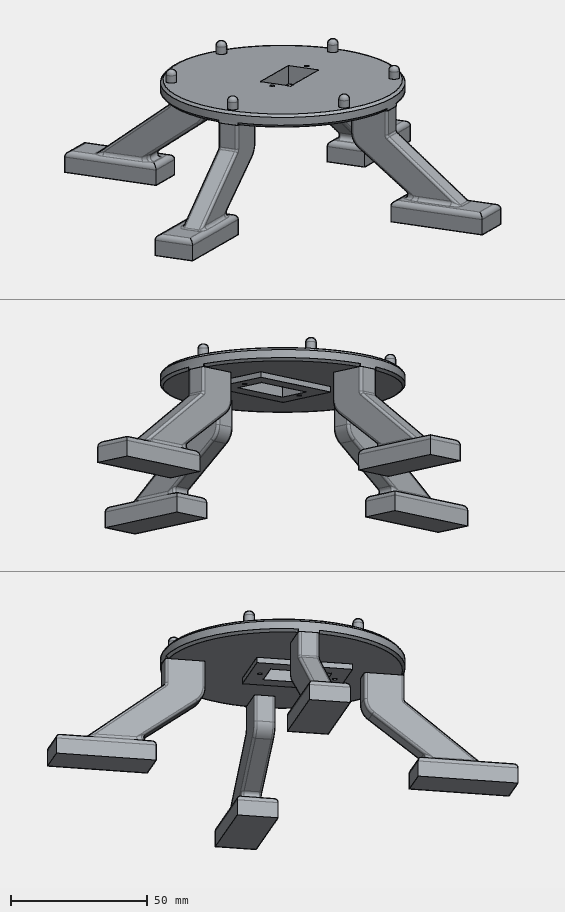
import cadquery as cq

span = 173.0
total_height = 50.2

plate_diameter = 90.0
plate_thickness = 5.0
plate_edge = 1.0

pin_count = 6
pin_diameter = 4.0
pin_height = 4.7
pin_nose_radius = 1.9
pin_circle_radius = 41.0
pin_first_angle = 30.0

window_length = 23.0
window_width = 12.5
opening_center_y = 5.5
pad_length = 36.0
pad_width = 24.9
pad_depth = 2.0
screw_hole_diameter = 1.66
screw_hole_spacing = 28.2

foot_count = 4
foot_length = 37.5
foot_width = 15.4
foot_height = 8.0
foot_offset = 1.42
foot_edge_radius = 2.0

leg_width = 8.0
leg_depth = 15.0
leg_outer_bend_z = 30.8
leg_outer_reach = 74.9
leg_inner_bend_z = 26.8
leg_inner_reach = 56.0
leg_inner_bend_radius = 7.1
leg_edge_radius = 1.0
leg_foot_radius = 1.5

level_tolerance = 0.2
selection_margin = 0.09

plate_radius = plate_diameter / 2
plate_top = total_height - pin_height
plate_bottom = plate_top - plate_thickness
leg_outer_x = -plate_radius
leg_inner_x = leg_outer_x + leg_depth


def make_plate():
    """Round plate with both rims bevelled."""
    disc = cq.Workplane("XY").workplane(offset=plate_bottom).circle(plate_radius).extrude(plate_thickness)
    return disc.edges().chamfer(plate_edge)


def make_pins():
    """Round-nosed pins standing on the plate."""
    pins = (
        cq.Workplane("XY")
        .workplane(offset=plate_bottom)
        .polarArray(pin_circle_radius, pin_first_angle, 360, pin_count)
        .circle(pin_diameter / 2)
        .extrude(total_height - plate_bottom)
    )
    return pins.faces(">Z").edges().fillet(pin_nose_radius)


def make_foot():
    """Foot block on the -X side, set off sideways from its leg."""
    block = cq.Workplane("XY").box(foot_length, foot_width, foot_height, centered=(False, True, False))
    block = block.translate((-span / 2, foot_offset, 0))
    return block.faces(">Z").edges().fillet(foot_edge_radius)


def x_inside_foot(reach, bend_x, bend_z):
    """X where a leg flank, crossing the foot top at -reach, gets to half the foot height."""
    run_per_rise = (bend_x + reach) / (bend_z - foot_height)
    return -reach - run_per_rise * foot_height / 2


def make_leg():
    """Bent leg on the -X side, from inside the foot up to the underside of the plate."""
    profile = [
        (x_inside_foot(leg_outer_reach, leg_outer_x, leg_outer_bend_z), foot_height / 2),
        (leg_outer_x, leg_outer_bend_z),
        (leg_outer_x, plate_bottom),
        (leg_inner_x, plate_bottom),
        (leg_inner_x, leg_inner_bend_z),
        (x_inside_foot(leg_inner_reach, leg_inner_x, leg_inner_bend_z), foot_height / 2),
    ]
    leg = cq.Workplane("XZ").polyline(profile).close().extrude(leg_width / 2, both=True)
    inner_bend = cq.selectors.NearestToPointSelector((leg_inner_x, 0, leg_inner_bend_z))
    leg = leg.edges(inner_bend).fillet(leg_inner_bend_radius)
    outer_bend = cq.selectors.NearestToPointSelector((leg_outer_x, 0, leg_outer_bend_z))
    leg = leg.edges(outer_bend).fillet(leg_edge_radius)
    lengthwise = leg.faces("<Y or >Y").edges().filter(lambda edge: edge.BoundingBox().zlen > level_tolerance)
    return lengthwise.fillet(leg_edge_radius)


def make_leg_seat():
    """Strip over the leg where the lower plate edge keeps its full radius."""
    strip = cq.Workplane("XY").box(leg_depth, leg_width, plate_edge, centered=(False, True, False))
    strip = strip.translate((leg_outer_x, 0, plate_bottom))
    disc = cq.Workplane("XY").workplane(offset=plate_bottom).circle(plate_radius).extrude(plate_edge)
    return strip.intersect(disc)


def make_support():
    """One leg blended into its foot, with its seat under the plate."""
    support = make_foot().union(make_leg())
    junction = cq.selectors.BoxSelector(
        (-leg_outer_reach - selection_margin, -leg_width / 2 - selection_margin, foot_height - selection_margin),
        (-leg_inner_reach + selection_margin, leg_width / 2 + selection_margin, foot_height + selection_margin),
        boundingbox=True,
    )
    support = support.edges(junction).fillet(leg_foot_radius)
    return support.union(make_leg_seat())


def make_pad():
    """Pad hanging under the plate around the window, rooted in the plate."""
    pad = cq.Workplane("XY").workplane(offset=plate_bottom - pad_depth).center(0, opening_center_y)
    return pad.rect(pad_width, pad_length).extrude(pad_depth + plate_edge)


def make_openings():
    """Window and its two screw holes, cut right through plate and pad."""
    sketch = cq.Workplane("XY").center(0, opening_center_y)
    window = sketch.rect(window_width, window_length).extrude(total_height)
    screw_holes = (
        sketch.pushPoints([(0, -screw_hole_spacing / 2), (0, screw_hole_spacing / 2)])
        .circle(screw_hole_diameter / 2)
        .extrude(total_height)
    )
    return window.union(screw_holes)


body = make_plate().union(make_pins()).union(make_pad())
support = make_support()
for index in range(foot_count):
    body = body.union(support.rotate((0, 0, 0), (0, 0, 1), index * 360 / foot_count))
result = body.cut(make_openings())